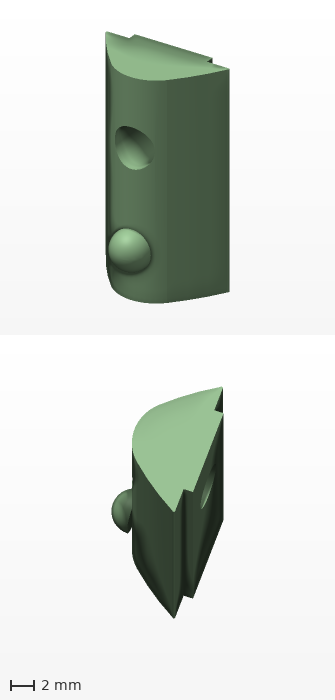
import cadquery as cq
import math

length = 22.0
width = 12.7
depth = 6.8

tab_width = 8.0
tab_height = 0.85

nose_radius = 4.0
nose_half_width = 2.88
lip_height = 0.25
lip_inset = 0.07
side_bulge = 0.15

hole_diameter = 4.14
hole_height = 15.0
ball_radius = 2.0
ball_height = 5.0


def bulged_midpoint(start, end, bulge):
    """Point offset from the middle of a chord, to the right of its direction."""
    dx = end[0] - start[0]
    dy = end[1] - start[1]
    chord = math.hypot(dx, dy)
    return (
        (start[0] + end[0]) / 2 + bulge * dy / chord,
        (start[1] + end[1]) / 2 - bulge * dx / chord,
    )


def mirrored(point):
    return (-point[0], point[1])


def make_housing():
    half_tab = tab_width / 2
    nose_drop = nose_radius - math.sqrt(nose_radius**2 - nose_half_width**2)

    nose_tip = (0, -depth)
    nose_end = (nose_half_width, -depth + nose_drop)
    lip_start = (width / 2 - lip_inset, -tab_height - lip_height)
    lip_middle = (width / 2, -tab_height - lip_height / 2)
    lip_end = (width / 2 - lip_inset, -tab_height)
    tab_foot = (half_tab, -tab_height)
    tab_corner = (half_tab, 0)
    side_middle = bulged_midpoint(nose_end, lip_start, side_bulge)

    body = (
        cq.Workplane("XY")
        .moveTo(*mirrored(nose_end))
        .threePointArc(nose_tip, nose_end)
        .threePointArc(side_middle, lip_start)
        .threePointArc(lip_middle, lip_end)
        .lineTo(*tab_foot)
        .lineTo(*tab_corner)
        .lineTo(*mirrored(tab_corner))
        .lineTo(*mirrored(tab_foot))
        .lineTo(*mirrored(lip_end))
        .threePointArc(mirrored(lip_middle), mirrored(lip_start))
        .threePointArc(mirrored(side_middle), mirrored(nose_end))
        .close()
        .extrude(length)
    )

    hole = (
        cq.Workplane("XZ")
        .center(0, hole_height)
        .circle(hole_diameter / 2)
        .extrude(depth)
    )
    return body.cut(hole)


def make_ball_nub():
    """Half ball whose flat back touches the nose of the housing."""
    half_profile = (
        cq.Workplane("XY", origin=(0, -depth, ball_height))
        .lineTo(ball_radius, 0)
        .radiusArc((0, -ball_radius), ball_radius)
        .close()
    )
    return half_profile.revolve(360, (0, 0), (0, 1))


housing = make_housing()
ball_nub = make_ball_nub()

result = cq.Compound.makeCompound([housing.val(), ball_nub.val()])